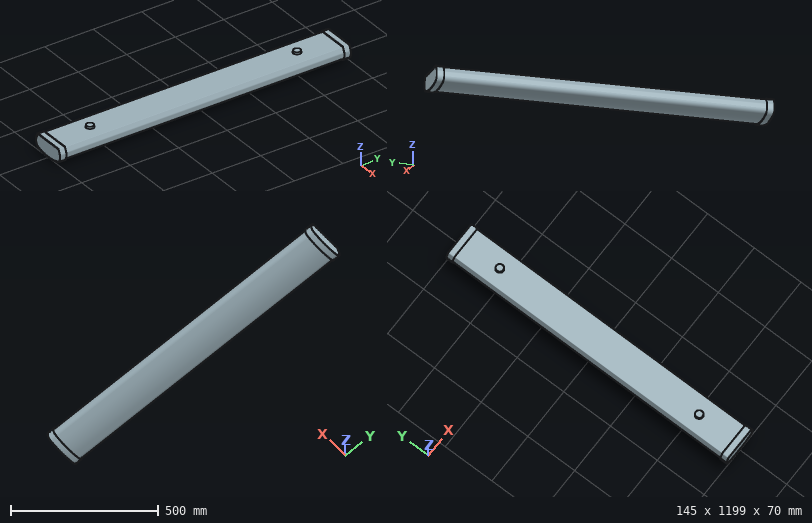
import cadquery as cq
import math

total_length = 1199.0
overall_width = 145.0
total_height = 70.0

band_length = 26.0
band_thickness = 3.0

top_half_width = 61.0
top_corner_radius = 1.8
section_top = 61.7
section_bottom = band_thickness
side_half_width = overall_width / 2 - band_thickness
shoulder_height = 43.0
shoulder_radius = 11.0
side_bottom = 26.0
bottom_radius = 192.0
corner_half_width = 55.0
corner_bulge = 3.0

stud_base_diameter = 31.0
stud_top_diameter = 28.0
stud_spacing = 854.0

housing_start = -total_length / 2
band_starts = (housing_start, -housing_start - band_length)
stud_height = total_height - section_top
stud_places = (-stud_spacing / 2, stud_spacing / 2)
corner_height = section_bottom + bottom_radius - math.sqrt(bottom_radius**2 - corner_half_width**2)


def bulge_point(start, end, bulge):
    """Point at the given distance from the middle of a chord, on its right going from start to end."""
    run = end[0] - start[0]
    rise = end[1] - start[1]
    chord = math.hypot(run, rise)
    middle_x = (start[0] + end[0]) / 2
    middle_z = (start[1] + end[1]) / 2
    return middle_x + bulge * rise / chord, middle_z - bulge * run / chord


def make_bar(y_start, length):
    """Solid bar with the housing section, running toward +Y from y_start."""
    corner_x, corner_z = bulge_point(
        (corner_half_width, corner_height), (side_half_width, side_bottom), corner_bulge
    )
    section_plane = cq.Plane(origin=(0, y_start, 0), xDir=(1, 0, 0), normal=(0, -1, 0))
    bar = (
        cq.Workplane(section_plane)
        .moveTo(-top_half_width, section_top)
        .lineTo(-side_half_width, shoulder_height)
        .lineTo(-side_half_width, side_bottom)
        .threePointArc((-corner_x, corner_z), (-corner_half_width, corner_height))
        .threePointArc((0, section_bottom), (corner_half_width, corner_height))
        .threePointArc((corner_x, corner_z), (side_half_width, side_bottom))
        .lineTo(side_half_width, shoulder_height)
        .lineTo(top_half_width, section_top)
        .close()
        .extrude(-length)
    )
    bar = round_long_edges(bar, side_half_width, shoulder_height, shoulder_radius)
    return round_long_edges(bar, top_half_width, section_top, top_corner_radius)


def round_long_edges(bar, half_width, height, radius):
    """Round the mirrored pair of lengthwise edges at the given half width and height."""
    middle_y = bar.val().Center().y
    for x in (-half_width, half_width):
        bar = bar.edges(cq.selectors.NearestToPointSelector((x, middle_y, height))).fillet(radius)
    return bar


def make_housing():
    """Bar over the whole length with the tapered studs on its top face."""
    housing = make_bar(housing_start, total_length)
    for y in stud_places:
        stud = (
            cq.Workplane("XY", origin=(0, y, section_top))
            .circle(stud_base_diameter / 2)
            .workplane(offset=stud_height)
            .circle(stud_top_diameter / 2)
            .loft()
        )
        housing = housing.union(stud)
    return housing


def make_end_band(y_start):
    """Collar whose opening is the housing section and whose outside is offset from it."""
    opening = make_bar(y_start, band_length).faces("<Y").wires().val()
    outside = opening.offset2D(band_thickness, "arc")[0]
    return cq.Workplane(cq.Solid.extrudeLinear(outside, [opening], cq.Vector(0, band_length, 0)))


housing = make_housing()
end_bands = [make_end_band(y_start) for y_start in band_starts]

result = cq.Compound.makeCompound([housing.val(), *[band.val() for band in end_bands]])